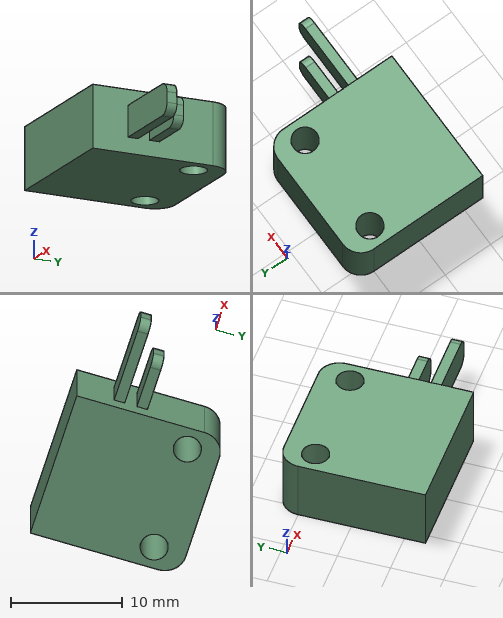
import cadquery as cq

total_length = 22.0
body_side = 14.0
body_height = 6.0

corner_radius = 2.0
hole_diameter = 2.5
hole_inset_x = 2.0
hole_y = 11.0

blade_thickness = 1.0
blade_width = 3.0
blade_tip_radius = 1.0
long_blade_length = total_length - body_side
short_blade_length = 5.0
long_blade_y = 4.0
short_blade_y = 6.14


def make_body():
    """Block with its two rear vertical edges rounded and two through holes."""
    block = cq.Workplane("XY").box(body_side, body_side, body_height, centered=False)
    block = block.edges("|Z and >Y").fillet(corner_radius)
    hole_centers = [(hole_inset_x, hole_y), (body_side - hole_inset_x, hole_y)]
    holes = cq.Workplane("XY").pushPoints(hole_centers).circle(hole_diameter / 2).extrude(body_height)
    return block.cut(holes)


def make_blade(length, center_y):
    """Flat upright terminal with a rounded tip, centred on the body height."""
    blade = cq.Workplane("XY").box(length, blade_thickness, blade_width, centered=(False, True, True))
    blade = blade.edges("|Y and >X").fillet(blade_tip_radius)
    return blade.translate((body_side, center_y, body_height / 2))


result = make_body()
for blade_length, blade_y in [(long_blade_length, long_blade_y), (short_blade_length, short_blade_y)]:
    result = result.union(make_blade(blade_length, blade_y))